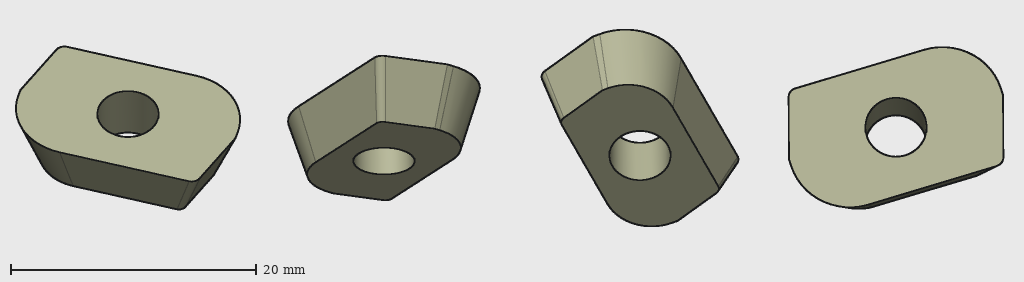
import cadquery as cq
import math

length = 18.3
width = 11.2
height = 5.1
end_radius = 5.0
slant_angle = 17.0
corner_radius = 0.79
hole_diameter = 5.0
bottom_scale = 0.8

half_length = length / 2
half_width = width / 2
lean = math.radians(slant_angle)


def rotated_half_turn(point):
    x, y = point
    return (-x, -y)


def half_outline_points():
    """Points along one half of the top outline, from the slanted right face to the left end."""
    corner_x = half_length - half_width * math.tan(lean)
    turn = math.pi / 2 - lean
    tangent_length = corner_radius * math.tan(turn / 2)
    side_start = (corner_x - tangent_length, -half_width)
    slant_end = (
        corner_x + tangent_length * math.sin(lean),
        -half_width + tangent_length * math.cos(lean),
    )
    corner_middle = (
        side_start[0] + corner_radius * math.sin(turn / 2),
        -half_width + corner_radius * (1 - math.cos(turn / 2)),
    )

    arc_center = (-half_length + end_radius, -half_width + end_radius)
    arc_start = (arc_center[0], -half_width)
    arc_middle = (
        arc_center[0] - end_radius * math.sqrt(0.5),
        arc_center[1] - end_radius * math.sqrt(0.5),
    )
    arc_end = (-half_length, arc_center[1])
    return slant_end, corner_middle, side_start, arc_start, arc_middle, arc_end


def add_outline(plane, scale):
    """Draw the closed outline, which repeats after a half turn, at the given scale."""
    half = [(scale * x, scale * y) for x, y in half_outline_points()]
    right_end = (scale * half_length, 0)
    other_half = [rotated_half_turn(point) for point in half]

    outline = plane.moveTo(*right_end)
    for points, start in ((half, right_end), (other_half, rotated_half_turn(right_end))):
        slant_end, corner_middle, side_start, arc_start, arc_middle, arc_end = points
        outline = (
            outline.lineTo(*slant_end)
            .threePointArc(corner_middle, side_start)
            .lineTo(*arc_start)
            .threePointArc(arc_middle, arc_end)
            .lineTo(*rotated_half_turn(start))
        )
    return outline.close()


bottom = add_outline(cq.Workplane("XY"), bottom_scale)
body = add_outline(bottom.workplane(offset=height), 1.0).loft(ruled=True, combine=True)

hole = cq.Workplane("XY").circle(hole_diameter / 2).extrude(height)

result = body.cut(hole)